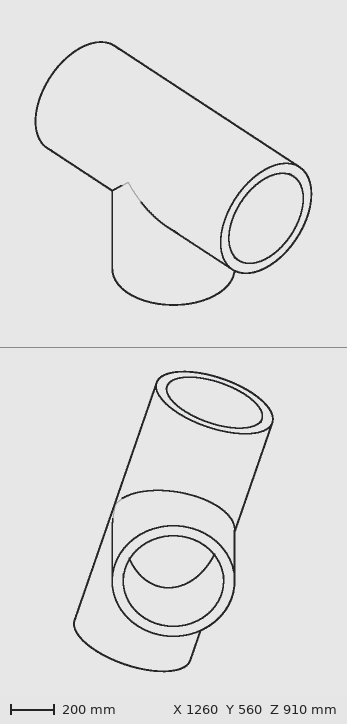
import cadquery as cq

outer_diameter = 560.0
bore_diameter = 458.4
run_length = 1260.0
branch_length = run_length / 2


def run_cylinder(diameter):
    """Cylinder along X, centred on the origin."""
    return cq.Workplane("YZ").circle(diameter / 2).extrude(run_length / 2, both=True)


def branch_cylinder(diameter):
    """Cylinder from the run axis down to the branch end face."""
    return cq.Workplane("XY").circle(diameter / 2).extrude(-branch_length)


def tee(diameter):
    """Run and branch of one diameter, joined."""
    return run_cylinder(diameter).union(branch_cylinder(diameter))


result = tee(outer_diameter).cut(tee(bore_diameter))